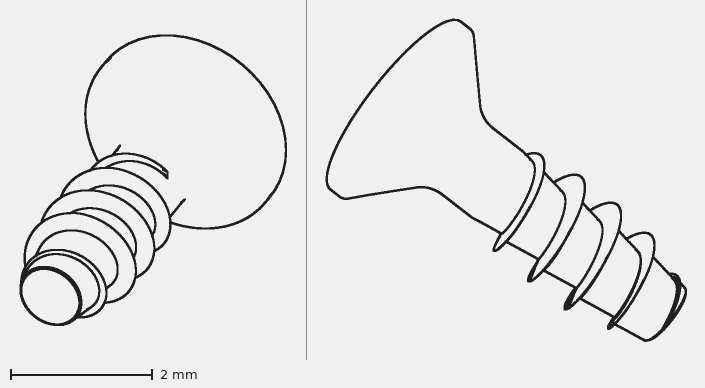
import cadquery as cq
import math

length = 5.0
head_radius = 1.5
rim_height = 0.2
rim_rounding = 0.02
shank_radius = 0.59
neck_blend_radius = 0.575
shank_end = -1.9
tip_radius = 0.465
tip_chamfer = 0.02

pitch = 0.6675
crest_at_turn_zero = -1.82
first_turn = 0.0
full_height_turn = 1.25
fade_turn = 3.25
last_turn = 4.75
first_crest_radius = 0.64
crest_radius = 0.81
head_flank_slope = 0.28
tip_flank_slope = 0.25

core_taper = 0.155
shoulder_radius = 0.57
wedge_length = pitch - 0.025
buried_radius = 0.4
points_per_turn = 24


def axial_place(turn):
    return crest_at_turn_zero - pitch * turn


def crest_radius_at(turn):
    if turn < full_height_turn:
        grown = turn / full_height_turn
        return first_crest_radius + (crest_radius - first_crest_radius) * grown
    if turn > fade_turn:
        faded = (turn - fade_turn) / (last_turn - fade_turn)
        return crest_radius + (tip_radius - crest_radius) * faded
    return crest_radius


def shoulder_radius_at(turn):
    """Shoulder radius, following the tip cone along the last turn."""
    tip_cone_radius = tip_radius + core_taper * (length + axial_place(turn))
    return min(shoulder_radius, tip_cone_radius)


def tooth_section(turn):
    """(radius, axial offset) corners of the pointed tooth."""
    crest = crest_radius_at(turn)
    height = crest - buried_radius
    return [
        (buried_radius, head_flank_slope * height),
        (crest, 0),
        (buried_radius, -tip_flank_slope * height),
    ]


def wedge_section(turn):
    """(radius, axial offset) corners of the tapering core between turns."""
    shoulder = shoulder_radius_at(turn)
    return [
        (buried_radius, 0),
        (shoulder, 0),
        (shoulder - core_taper * wedge_length, -wedge_length),
        (buried_radius, -wedge_length),
    ]


def helical_solid(section):
    """Solid swept by a section whose corners vary along the helix."""
    steps = round((last_turn - first_turn) * points_per_turn)
    turns = [first_turn + (last_turn - first_turn) * i / steps for i in range(steps + 1)]
    paths = [[] for _ in section(first_turn)]
    for turn in turns:
        angle = 2 * math.pi * turn
        for path, (radius, offset) in zip(paths, section(turn)):
            place = axial_place(turn) + offset
            path.append(cq.Vector(radius * math.cos(angle), place, radius * math.sin(angle)))
    edges = [cq.Edge.makeSpline(path) for path in paths]
    faces = [cq.Face.makeRuledSurface(edges[i - 1], edges[i]) for i in range(len(edges))]
    for end in (0, -1):
        corners = [path[end] for path in paths]
        faces.append(cq.Face.makeFromWires(cq.Wire.makePolygon(corners, close=True)))
    return cq.Solid.makeSolid(cq.Shell.makeShell(faces))


def make_body():
    """Head, blended neck, shank and plain core as one revolved outline."""
    diagonal = math.sqrt(0.5)
    blend_radius = shank_radius + neck_blend_radius * (1 - diagonal)
    blend_start = -rim_height - (head_radius - blend_radius)
    blend_end = blend_start - neck_blend_radius * diagonal
    half_bend = math.pi / 8
    blend_middle = (
        shank_radius + neck_blend_radius * (1 - math.cos(half_bend)),
        blend_end + neck_blend_radius * math.sin(half_bend),
    )
    lead_end = shank_end - (shank_radius - tip_radius) / core_taper
    return (
        cq.Workplane("XY")
        .lineTo(head_radius, 0)
        .lineTo(head_radius, -rim_height)
        .lineTo(blend_radius, blend_start)
        .threePointArc(blend_middle, (shank_radius, blend_end))
        .lineTo(shank_radius, shank_end)
        .lineTo(tip_radius, lead_end)
        .lineTo(tip_radius, -length + tip_chamfer)
        .lineTo(tip_radius - tip_chamfer, -length)
        .lineTo(0, -length)
        .close()
        .revolve(360, (0, 0, 0), (0, 1, 0))
    )


def make_thread_part(section):
    """Helical solid kept between the end of the shank and the tip chamfer."""
    zone_length = length - tip_chamfer + shank_end
    zone = cq.Workplane("XZ", origin=(0, shank_end, 0)).circle(head_radius).extrude(zone_length)
    return cq.Workplane(helical_solid(section)).intersect(zone)


body = make_body().edges(cq.selectors.RadiusNthSelector(-1)).fillet(rim_rounding)
core = body.union(make_thread_part(wedge_section))
result = core.union(make_thread_part(tooth_section))